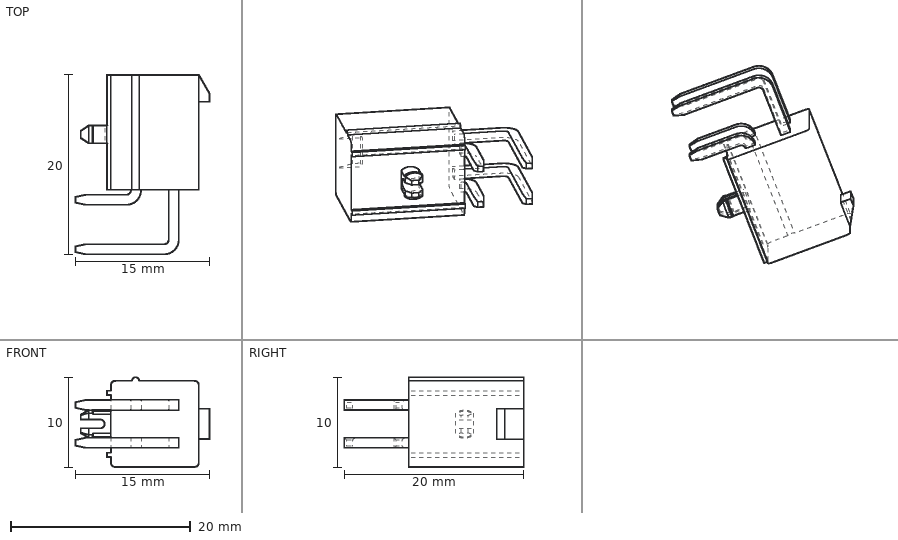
import cadquery as cq
import math


body_width = 9.8
body_length = 12.8
body_height = 9.6
corner_radius = 0.5

embed_depth = 0.5

pin_pitch = 4.2
near_pin_x = 2.8
far_pin_x = near_pin_x + pin_pitch
column_heights = (-pin_pitch / 2, pin_pitch / 2)

bead_radius = 0.4
bead_x = 2.75

rib_standoff = 0.45
rib_thickness = 0.5
rib_center_z = 3.45

latch_standoff = 1.2
latch_width = 3.4
latch_ramp_length = 2.1
latch_length = 3.0

pin_size = 1.14
tip_x = -3.95
tip_length = 1.15
tip_size = 0.64
bend_inner_radius = 0.5
near_row_y = -1.1
row_spacing = 5.5
far_row_y = near_row_y - row_spacing

peg_y = 6.17
peg_width = 2.0
peg_shaft_radius = 1.45
peg_head_radius = 1.56
peg_tip_radius = 1.03
peg_tip_width = 0.8
peg_tip_x = -3.35
peg_cone_x = -2.45
peg_head_end_x = -2.07
peg_shaft_start_x = -1.93
peg_slot_width = 0.95
peg_slot_end_x = -0.7


def make_housing():
    """Rounded block with the key bead on its top wall."""
    block = (
        cq.Workplane("XY")
        .box(body_width, body_length, body_height, centered=(False, False, True))
        .edges("|Y")
        .fillet(corner_radius)
    )
    bead = (
        cq.Workplane("XZ")
        .center(bead_x, body_height / 2)
        .circle(bead_radius)
        .extrude(-body_length)
    )
    return block.union(bead)


def make_rib(height):
    """Full-length standoff rib centred at the given height."""
    return (
        cq.Workplane("XY")
        .box(rib_standoff + embed_depth, body_length, rib_thickness, centered=(False, False, True))
        .translate((-rib_standoff, 0, height))
    )


def make_latch():
    """Wedge that rises from the mating end to a square catch."""
    outer_x = body_width + latch_standoff
    catch_y = body_length - latch_length
    return (
        cq.Workplane("XY")
        .moveTo(body_width, body_length)
        .lineTo(outer_x, body_length - latch_ramp_length)
        .lineTo(outer_x, catch_y)
        .lineTo(body_width, catch_y)
        .close()
        .extrude(latch_width / 2, both=True)
    )


def make_pin(leg_x, row_y, height):
    """Pin that leaves the housing along -Y, bends to -X and ends in a tapered tip."""
    half = pin_size / 2
    outer_radius = bend_inner_radius + pin_size
    bend_x = leg_x + half - outer_radius
    bend_y = row_y - half + outer_radius
    shoulder_x = tip_x + tip_length
    diagonal = math.sqrt(0.5)
    root_y = embed_depth
    bar = (
        cq.Workplane("XY", origin=(0, 0, height))
        .moveTo(shoulder_x, row_y - half)
        .lineTo(bend_x, row_y - half)
        .threePointArc(
            (bend_x + outer_radius * diagonal, bend_y - outer_radius * diagonal),
            (leg_x + half, bend_y),
        )
        .lineTo(leg_x + half, root_y)
        .lineTo(leg_x - half, root_y)
        .lineTo(leg_x - half, bend_y)
        .threePointArc(
            (bend_x + bend_inner_radius * diagonal, bend_y - bend_inner_radius * diagonal),
            (bend_x, row_y + half),
        )
        .lineTo(shoulder_x, row_y + half)
        .close()
        .extrude(half, both=True)
    )
    tip = (
        cq.Workplane("YZ", origin=(shoulder_x, row_y, height))
        .rect(pin_size, pin_size)
        .workplane(offset=-tip_length)
        .rect(tip_size, tip_size)
        .loft(combine=True)
    )
    return bar.union(tip)


def make_peg():
    """Turned peg trimmed to flat, tapering sides and split by a round-ended slot."""
    turned = (
        cq.Workplane("XY")
        .moveTo(peg_tip_x, 0)
        .lineTo(peg_tip_x, peg_tip_radius)
        .lineTo(peg_cone_x, peg_head_radius)
        .lineTo(peg_head_end_x, peg_head_radius)
        .lineTo(peg_shaft_start_x, peg_shaft_radius)
        .lineTo(embed_depth, peg_shaft_radius)
        .lineTo(embed_depth, 0)
        .close()
        .revolve(360, (0, 0, 0), (1, 0, 0))
    )
    side_outline = (
        cq.Workplane("XY")
        .moveTo(peg_tip_x, peg_tip_width / 2)
        .lineTo(peg_cone_x, peg_width / 2)
        .lineTo(embed_depth, peg_width / 2)
        .lineTo(embed_depth, -peg_width / 2)
        .lineTo(peg_cone_x, -peg_width / 2)
        .lineTo(peg_tip_x, -peg_tip_width / 2)
        .close()
        .extrude(peg_head_radius, both=True)
    )
    slot_radius = peg_slot_width / 2
    slot_outer_x = peg_tip_x - slot_radius
    slot = (
        cq.Workplane("XZ")
        .center((slot_outer_x + peg_slot_end_x) / 2, 0)
        .slot2D(peg_slot_end_x - slot_outer_x, peg_slot_width)
        .extrude(peg_width, both=True)
    )
    return turned.intersect(side_outline).cut(slot).translate((0, peg_y, 0))


result = make_housing().union(make_latch()).union(make_peg())
for rib_z in (-rib_center_z, rib_center_z):
    result = result.union(make_rib(rib_z))
for pin_z in column_heights:
    result = result.union(make_pin(near_pin_x, near_row_y, pin_z))
    result = result.union(make_pin(far_pin_x, far_row_y, pin_z))